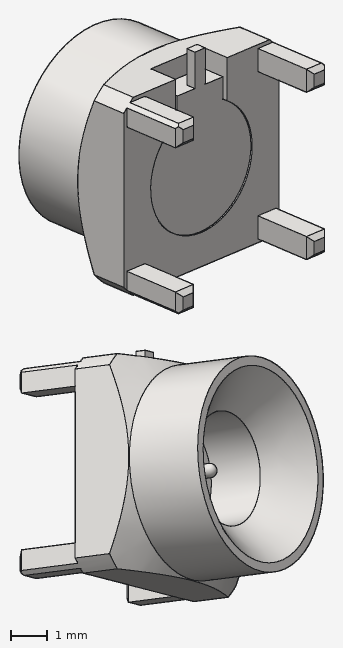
import cadquery as cq

flange_width = 6.0
flange_front = 2.29
flange_back = 4.095
corner_radius = 3.99
corner_start = 2.94

barrel_radius = 2.98
mouth_radius = 2.72
bore_radius = 1.59
bore_floor = 2.77
contact_radius = 0.1995
contact_tip = 1.505

leg_pitch = 5.06
leg_width = 0.7
leg_end = 6.13
leg_tip_chamfer = 0.15

insulator_radius = 1.96
insulator_recess = 0.05
slot_width = 1.99
slot_front = 3.13
block_front = 3.24
block_width = 1.765
block_top = 2.44
terminal_length = 0.315
terminal_width = 0.4
terminal_rise = 0.54

half_flange = flange_width / 2
insulator_back = flange_back - insulator_recess


def box_between(x_start, x_end, width, z_start, z_end):
    """Box centred on Y = 0 between the given X and Z limits."""
    return cq.Workplane("XY").box(
        x_end - x_start, width, z_end - z_start, centered=(False, True, False)
    ).translate((x_start, 0, z_start))


def cylinder_along_x(radius, x_start, x_end):
    return cq.Workplane("YZ", origin=(x_start, 0, 0)).circle(radius).extrude(x_end - x_start)


def revolve_about_x(profile):
    """Revolve a closed (X, radius) profile about the X axis."""
    return profile.close().revolve(360, (0, 0, 0), (1, 0, 0))


def make_flange():
    return box_between(flange_front, flange_back, flange_width, -half_flange, half_flange)


def make_legs():
    return (
        cq.Workplane("YZ", origin=(flange_back, 0, 0))
        .rect(leg_pitch, leg_pitch, forConstruction=True)
        .vertices()
        .rect(leg_width, leg_width)
        .extrude(leg_end - flange_back)
        .faces(">X")
        .chamfer(leg_tip_chamfer)
    )


def make_turned_envelope():
    """Barrel, front cone and corner radius that bound the flange and the legs."""
    return revolve_about_x(
        cq.Workplane("XY")
        .lineTo(0, barrel_radius)
        .lineTo(flange_front, barrel_radius)
        .lineTo(corner_start, corner_radius)
        .lineTo(leg_end, corner_radius)
        .lineTo(leg_end, 0)
    )


def make_socket():
    """45 degree lead-in followed by a plain bore."""
    return revolve_about_x(
        cq.Workplane("XY")
        .lineTo(0, mouth_radius)
        .lineTo(mouth_radius - bore_radius, bore_radius)
        .lineTo(bore_floor, bore_radius)
        .lineTo(bore_floor, 0)
    )


def make_contact():
    """Centre contact with a hemispherical tip."""
    shaft = cylinder_along_x(contact_radius, contact_tip + contact_radius, insulator_back)
    tip = cq.Workplane("XY").sphere(contact_radius).translate((contact_tip + contact_radius, 0, 0))
    return shaft.union(tip)


def make_slot():
    """Terminal slot in the top of the flange, down to the round insulator."""
    slot = box_between(slot_front, flange_back, slot_width, 0, half_flange)
    return slot.cut(cylinder_along_x(insulator_radius, slot_front, flange_back))


def make_terminal():
    """Insulator block inside the slot with the terminal standing on it."""
    block = box_between(block_front, insulator_back, block_width, 0, block_top)
    terminal = box_between(
        insulator_back - terminal_length, insulator_back, terminal_width, 0, half_flange + terminal_rise
    )
    return block.union(terminal)


barrel = cylinder_along_x(barrel_radius, 0, flange_front)
body = make_flange().union(make_legs()).intersect(make_turned_envelope()).union(barrel)
rear_recess = cylinder_along_x(insulator_radius, insulator_back, flange_back)

result = (
    body.cut(make_socket())
    .cut(rear_recess)
    .cut(make_slot())
    .union(make_contact())
    .union(make_terminal())
)